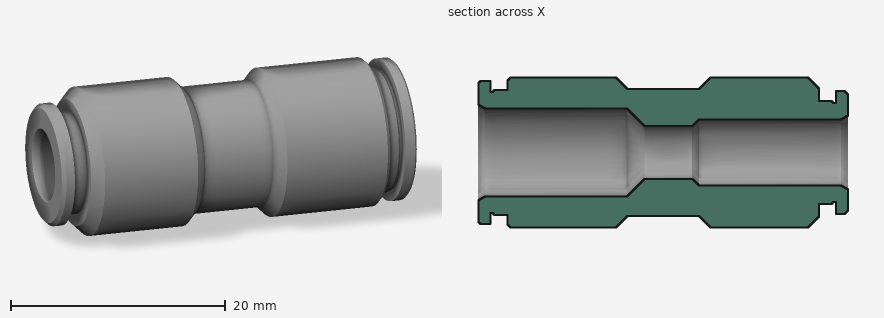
import cadquery as cq

length = 34.45
body_radius = 7.0
waist_radius = 5.95
through_radius = 2.45

flange_depth = 1.17
groove_depth = 1.55
collar_depth = 2.7
body_depth = 12.85
shoulder_bevel = body_radius - waist_radius
waist_depth = body_depth + shoulder_bevel
socket_depth = waist_depth

small_flange_radius = 5.75
small_collar_radius = 4.82
small_socket_radius = 3.05
small_flange_bevel = 0.35
large_flange_radius = 6.7
large_collar_radius = 5.85
large_socket_radius = 4.05
large_flange_bevel = 0.2
large_body_bevel = 0.3
groove_step = 0.17
groove_slope = 0.17
socket_bevel = 0.38
socket_bevel_depth = 0.65


def port_outline(flange_radius, flange_bevel, collar_radius, body_bevel):
    """Outer (radius, depth) points from the end face to the waist."""
    groove_radius = collar_radius - groove_step
    return [
        (flange_radius - flange_bevel, 0),
        (flange_radius, flange_bevel),
        (flange_radius, flange_depth),
        (groove_radius, flange_depth),
        (groove_radius, groove_depth - groove_slope),
        (collar_radius, groove_depth),
        (collar_radius, collar_depth),
        (body_radius - body_bevel, collar_depth),
        (body_radius, collar_depth + body_bevel),
        (body_radius, body_depth),
        (waist_radius, waist_depth),
    ]


def socket_outline(socket_radius):
    """Inner (radius, depth) points from the end face to the through hole.

    The socket floor is a 45 degree cone that narrows to the through hole.
    """
    seat_step = socket_radius - through_radius
    return [
        (socket_radius + socket_bevel, 0),
        (socket_radius, socket_bevel_depth),
        (socket_radius, socket_depth),
        (through_radius, socket_depth + seat_step),
    ]


def from_small_end(points):
    return [(radius, depth - length / 2) for radius, depth in points]


def from_large_end(points):
    return [(radius, length / 2 - depth) for radius, depth in points]


small_outside = from_small_end(
    port_outline(small_flange_radius, small_flange_bevel, small_collar_radius, shoulder_bevel)
)
large_outside = from_large_end(
    port_outline(large_flange_radius, large_flange_bevel, large_collar_radius, large_body_bevel)
)
small_inside = from_small_end(socket_outline(small_socket_radius))
large_inside = from_large_end(socket_outline(large_socket_radius))

half_section = small_outside + large_outside[::-1] + large_inside + small_inside[::-1]

result = cq.Workplane("XY").polyline(half_section).close().revolve(360, (0, 0, 0), (0, 1, 0))